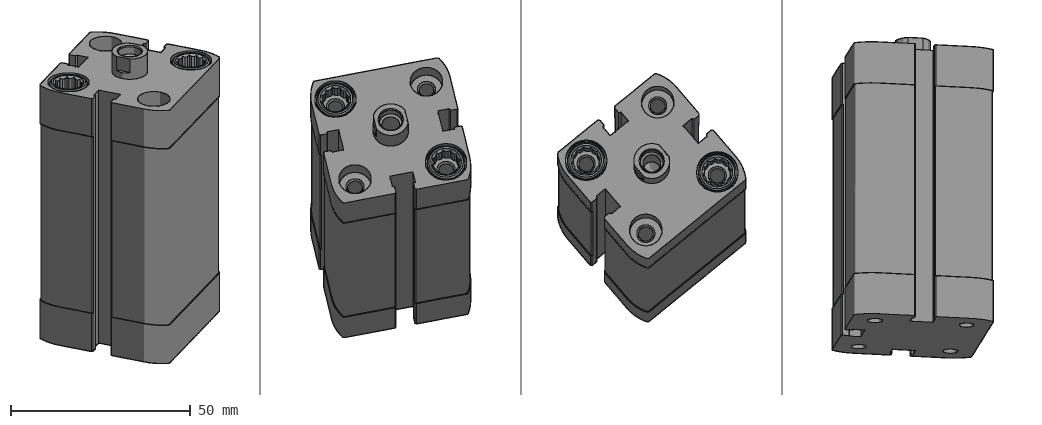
import cadquery as cq
import math


housing_width = 39.5
half_width = housing_width / 2
total_height = 85.3
rod_projection = 6.3
housing_height = total_height - rod_projection
cap_height = 11.9
barrel_inset = 0.25
barrel_height = housing_height - 2 * cap_height
corner_radius = 25.0 / 2
corner_blend_radius = 0.85
hole_offset = 13.0

slot_neck_width = 5.4
slot_inner_width = 6.6
slot_neck_depth = 2.1
slot_depth = 5.6
slot_mouth_chamfer = 0.3
slot_lip_slope = 0.25

through_diameter = 4.1
countersink_diameter = 5.0
counterbore_diameter = 9.0
counterbore_depth = 4.5

groove_outer_diameter = 11.5
groove_inner_diameter = 10.5
groove_rim_diameter = 9.6
groove_depth = 1.3
socket_mouth_diameter = 8.5
socket_tooth_diameter = 7.25
socket_root_diameter = 7.9
socket_depth = 4.5
tooth_count = 12
tooth_half_angle = 6.6

rod_diameter = 10.0
rod_insertion = cap_height
rod_length = rod_insertion + rod_projection
flat_spacing = 9.0
flat_height = 4.2
flat_runout = 0.3
rod_mouth_diameter = 7.0
rod_bore_diameter = 6.4
rod_bore_depth = 2.6
rod_drill_diameter = 4.95
rod_drill_depth = 11.9
drill_point_angle = 120.0


def polar(radius, degrees):
    """Point at the given radius and angle in the XY plane."""
    return (radius * math.cos(math.radians(degrees)), radius * math.sin(math.radians(degrees)))


def cone_height(large_diameter, small_diameter, point_angle):
    """Length of a cone between two diameters, for its full point angle."""
    return (large_diameter - small_diameter) / 2 / math.tan(math.radians(point_angle / 2))


def turned(profile):
    """Solid of revolution about Z from (radius, z) points."""
    return cq.Workplane("XZ").polyline(profile).close().revolve(360, (0, 0), (0, 1))


def slot_cutter(face_distance, height):
    """T-slot open toward -Y in a side face at the given distance from the axis."""
    neck = slot_neck_width / 2
    inner = slot_inner_width / 2
    floor = half_width - slot_depth
    lip = half_width - slot_neck_depth
    right_half = [
        (neck + slot_mouth_chamfer, -face_distance),
        (neck, -face_distance + slot_mouth_chamfer),
        (neck, -lip),
        (inner, -lip + slot_lip_slope),
        (inner, -floor),
    ]
    left_half = [(-x, y) for x, y in reversed(right_half)]
    return cq.Workplane("XY").polyline(right_half + left_half).close().extrude(height)


def housing_section(inset, base, height):
    """Length of the housing outline, set in by `inset` from the full width."""
    side = half_width - inset
    radius = corner_radius - inset
    centre_y = half_width - corner_radius
    reach = side - hole_offset
    corner_y = centre_y + math.sqrt(radius**2 - reach**2)
    mid_angle = math.asin(reach / radius) / 2
    mid_x = hole_offset + radius * math.sin(mid_angle)
    mid_y = centre_y + radius * math.cos(mid_angle)
    section = (
        cq.Workplane("XY")
        .moveTo(-hole_offset, -side)
        .lineTo(hole_offset, -side)
        .threePointArc((mid_x, -mid_y), (side, -corner_y))
        .lineTo(side, corner_y)
        .threePointArc((mid_x, mid_y), (hole_offset, side))
        .lineTo(-hole_offset, side)
        .threePointArc((-mid_x, mid_y), (-side, corner_y))
        .lineTo(-side, -corner_y)
        .threePointArc((-mid_x, -mid_y), (-hole_offset, -side))
        .close()
        .extrude(height)
    )
    section = section.edges("|Z and (<X or >X)").fillet(corner_blend_radius)
    for angle in (0, 180, -90):
        section = section.cut(slot_cutter(side, height).rotate((0, 0, 0), (0, 0, 1), angle))
    return section.translate((0, 0, base))


def through_hole_cutter(countersink_z):
    """Through hole with a 90 degree countersink whose wide end is at the given height."""
    through = through_diameter / 2
    wide = countersink_diameter / 2
    return turned([
        (0, 0),
        (through, 0),
        (through, countersink_z - (wide - through)),
        (wide, countersink_z),
        (0, countersink_z),
    ])


def counterbored_hole_cutter():
    counterbore = (
        cq.Workplane("XY", origin=(0, 0, housing_height - counterbore_depth))
        .circle(counterbore_diameter / 2)
        .extrude(counterbore_depth)
    )
    return counterbore.union(through_hole_cutter(housing_height - counterbore_depth))


def ring_groove_cutter():
    floor_z = housing_height - groove_depth
    bevel_z = housing_height - (groove_inner_diameter - groove_rim_diameter) / 2
    return turned([
        (groove_outer_diameter / 2, floor_z),
        (groove_outer_diameter / 2, housing_height),
        (groove_rim_diameter / 2, housing_height),
        (groove_inner_diameter / 2, bevel_z),
        (groove_inner_diameter / 2, floor_z),
    ])


def splined_socket_cutter():
    """Socket with inward teeth, countersunk at its mouth, over the through hole."""
    floor_z = housing_height - socket_depth
    tooth_pitch = 360 / tooth_count
    outline = []
    for index in range(tooth_count):
        root_angle = index * tooth_pitch
        tooth_angle = root_angle - tooth_pitch / 2
        outline.append(polar(socket_tooth_diameter / 2, tooth_angle - tooth_half_angle))
        outline.append(polar(socket_tooth_diameter / 2, tooth_angle + tooth_half_angle))
        outline.append(polar(socket_root_diameter / 2, root_angle))
    socket = (
        cq.Workplane("XY", origin=(0, 0, floor_z)).polyline(outline).close().extrude(socket_depth)
    )
    mouth = turned([
        (0, housing_height),
        (socket_mouth_diameter / 2, housing_height),
        (0, housing_height - socket_mouth_diameter / 2),
    ])
    return socket.union(mouth).union(through_hole_cutter(floor_z))


def make_housing():
    bottom_cap = housing_section(0, 0, cap_height)
    barrel = housing_section(barrel_inset, cap_height, barrel_height)
    top_cap = housing_section(0, housing_height - cap_height, cap_height)
    housing = bottom_cap.union(barrel).union(top_cap)
    for sign in (-1, 1):
        plain_corner = (sign * hole_offset, -sign * hole_offset, 0)
        socket_corner = (sign * hole_offset, sign * hole_offset, 0)
        housing = housing.cut(counterbored_hole_cutter().translate(plain_corner))
        housing = housing.cut(splined_socket_cutter().translate(socket_corner))
        housing = housing.cut(ring_groove_cutter().translate(socket_corner))
    rod_bore = (
        cq.Workplane("XY", origin=(0, 0, housing_height - rod_insertion))
        .circle(rod_diameter / 2)
        .extrude(rod_insertion)
    )
    return housing.cut(rod_bore)


def rod_hole_cutter():
    """Chamfered bore stepping down to a blind drilled hole, from the rod's end."""
    mouth = rod_mouth_diameter / 2
    bore = rod_bore_diameter / 2
    drill = rod_drill_diameter / 2
    bore_end = total_height - rod_bore_depth
    step_end = bore_end - cone_height(rod_bore_diameter, rod_drill_diameter, drill_point_angle)
    drill_end = total_height - rod_drill_depth
    return turned([
        (0, total_height),
        (mouth, total_height),
        (bore, total_height - (mouth - bore)),
        (bore, bore_end),
        (drill, step_end),
        (drill, drill_end),
        (0, drill_end - cone_height(rod_drill_diameter, 0, drill_point_angle)),
    ])


def make_rod():
    rod = (
        cq.Workplane("XY", origin=(0, 0, housing_height - rod_insertion))
        .circle(rod_diameter / 2)
        .extrude(rod_length)
    )
    flat_y = flat_spacing / 2
    rod_radius = rod_diameter / 2
    flat_end = total_height - flat_height
    for side in (-1, 1):
        flat_cutter = (
            cq.Workplane("YZ", origin=(-rod_radius, 0, 0))
            .moveTo(side * flat_y, total_height)
            .lineTo(side * flat_y, flat_end)
            .lineTo(side * rod_radius, flat_end - flat_runout)
            .lineTo(side * rod_radius, total_height)
            .close()
            .extrude(rod_diameter)
        )
        rod = rod.cut(flat_cutter)
    return rod.cut(rod_hole_cutter())


housing = make_housing()
rod = make_rod()
result = cq.Compound.makeCompound([housing.val(), rod.val()])